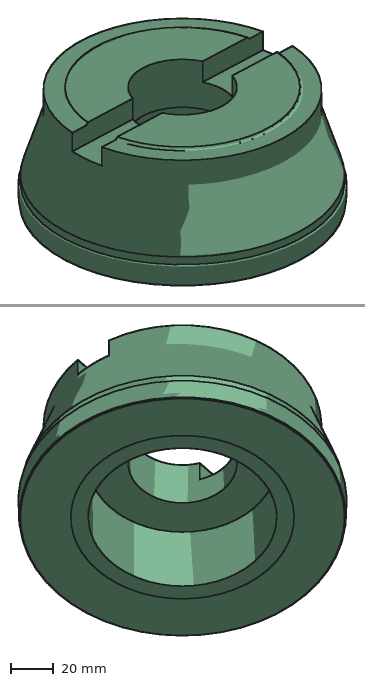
import cadquery as cq
import math

TOTAL_HEIGHT = 63.01
PAD_HEIGHT = 1.2
HUB_TOP_Z = TOTAL_HEIGHT - PAD_HEIGHT
CONE_TOP_Z = 48.9
CONE_BASE_Z = 16.0
COUNTERBORE_TOP_Z = 37.0

HUB_RADIUS = 130.0 / 2
SKIRT_RADIUS = 151.4 / 2
PAD_RADIUS = 109.6 / 2
PAD_FLARE_WIDTH = 1.5
BORE_RADIUS = 50.8 / 2
COUNTERBORE_RADIUS = 88.0 / 2
SPIGOT_RADIUS = 104.26 / 2

CONE_BLEND_RADIUS = 2.2
CONE_ANGLE = math.atan2(SKIRT_RADIUS - HUB_RADIUS, CONE_TOP_Z - CONE_BASE_Z)
CONE_BLEND_REACH = CONE_BLEND_RADIUS * math.tan(CONE_ANGLE / 2)

SEAM_Z = CONE_BASE_Z - CONE_BLEND_REACH

SLOT_WIDTH = 19.05
SLOT_DEPTH = 11.3
SLOT_LENGTH = 3 * HUB_RADIUS

RIM_RADIUS = 153.53 / 2
RIM_TOP_Z = 11.5
RIM_ROUND = 0.7
RIM_TAPER = 0.2
FOOT_BAND_Z = 2.9
FOOT_BAND_TAPER = 0.4
FOOT_CHAMFER = 0.5

ARC_INSET = 1 - math.sqrt(0.5)


def turn(profile):
    """Revolve a closed XZ profile a full turn about the Z axis."""
    return profile.revolve(360, (0, 0, 0), (0, 1, 0))


def make_body():
    """Conical body with a slotted hub, a raised pad, a stepped bore and a spigot."""
    blend_dx = CONE_BLEND_REACH * math.sin(CONE_ANGLE)
    blend_dz = CONE_BLEND_REACH * math.cos(CONE_ANGLE)
    blend_mid_dx = CONE_BLEND_RADIUS * (1 - math.cos(CONE_ANGLE / 2))
    blend_mid_dz = CONE_BLEND_RADIUS * math.sin(CONE_ANGLE / 2)
    profile = (
        cq.Workplane("XZ")
        .moveTo(COUNTERBORE_RADIUS, 0)
        .lineTo(SPIGOT_RADIUS, 0)
        .lineTo(SPIGOT_RADIUS, SEAM_Z)
        .lineTo(SKIRT_RADIUS, SEAM_Z)
        .threePointArc(
            (SKIRT_RADIUS - blend_mid_dx, SEAM_Z + blend_mid_dz),
            (SKIRT_RADIUS - blend_dx, CONE_BASE_Z + blend_dz),
        )
        .lineTo(HUB_RADIUS + blend_dx, CONE_TOP_Z - blend_dz)
        .tangentArcPoint((HUB_RADIUS, CONE_TOP_Z + CONE_BLEND_REACH), relative=False)
        .lineTo(HUB_RADIUS, HUB_TOP_Z)
        .lineTo(PAD_RADIUS + PAD_FLARE_WIDTH, HUB_TOP_Z)
        .tangentArcPoint((PAD_RADIUS, TOTAL_HEIGHT), relative=False)
        .lineTo(BORE_RADIUS, TOTAL_HEIGHT)
        .lineTo(BORE_RADIUS, COUNTERBORE_TOP_Z)
        .lineTo(COUNTERBORE_RADIUS, COUNTERBORE_TOP_Z)
        .close()
    )
    slot = (
        cq.Workplane("XY", origin=(0, 0, TOTAL_HEIGHT - SLOT_DEPTH))
        .rect(SLOT_WIDTH, SLOT_LENGTH)
        .extrude(SLOT_DEPTH)
    )
    return turn(profile).cut(slot)


def make_ring():
    """Ring around the spigot: a short skirt, then a wider rim with a rounded top edge."""
    band_radius = RIM_RADIUS - RIM_TAPER
    foot_radius = band_radius - FOOT_BAND_TAPER
    inset = RIM_ROUND * ARC_INSET
    profile = (
        cq.Workplane("XZ")
        .moveTo(SPIGOT_RADIUS, 0)
        .lineTo(foot_radius - FOOT_CHAMFER, 0)
        .lineTo(foot_radius, FOOT_CHAMFER)
        .lineTo(band_radius, FOOT_BAND_Z)
        .lineTo(RIM_RADIUS, RIM_TOP_Z - RIM_ROUND)
        .threePointArc((RIM_RADIUS - inset, RIM_TOP_Z - inset), (RIM_RADIUS - RIM_ROUND, RIM_TOP_Z))
        .lineTo(SKIRT_RADIUS, RIM_TOP_Z)
        .lineTo(SKIRT_RADIUS, SEAM_Z)
        .lineTo(SPIGOT_RADIUS, SEAM_Z)
        .close()
    )
    return turn(profile)


body = make_body()
ring = make_ring()
result = cq.Compound.makeCompound([body.val(), ring.val()])